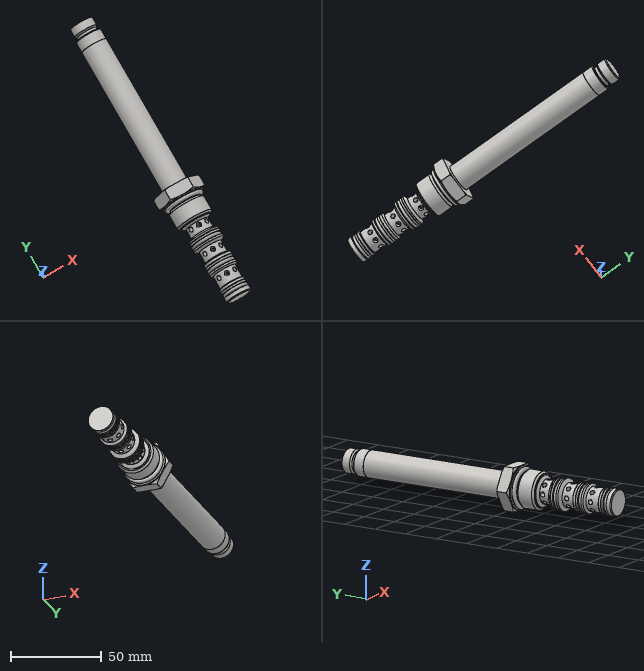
import cadquery as cq
import math


overall_length = 177.48
nose_y = -62.9
tip_y = nose_y + overall_length

hex_flats = 25.4
hex_corners = 2 * hex_flats / math.sqrt(3)
collar_height = 0.7
hex_bottom_y = collar_height
hex_top_y = 8.05
hex_top_bevel_dia = 27.4
bevel_angle = math.radians(22)

neck_dia = 19.62
static_bead_dia = 24.2
static_bead_width = 2.3
thread_dia = 22.22
thread_top_y = -4.0
thread_bottom_y = -12.85
thread_face_dia = 20.0
shoulder_dia = 18.4
shoulder_base_y = -15.6

cage_dia = 14.29
land_cone_angle = math.radians(30)
groove_width = 3.75
upper_land = (18.97, 16.23, -29.05, -27.8, -23.0)
middle_land = (17.37, 14.63, -45.1, -43.75, -38.4)
nose_land = (15.85, 13.16, nose_y, -59.8, -54.55)
lands = (upper_land, middle_land, nose_land)
nose_face_dia = 14.73

seal_recess = 0.065
seal_end_gap = 0.2
backup_width = 1.3
seal_bead_radius = (groove_width - 2 * seal_end_gap - backup_width) / 2

port_dia = 2.69
port_rows = 3
port_pitch = 15.65
first_port_y = -48.9
ports_per_row = 8

tube_dia = 15.88
tube_end_dia = 15.8
tube_end_face_dia = 14.73
tube_shoulder_y = 99.6
tube_end_y = 106.35
tip_neck_dia = 12.39
tip_head_dia = 14.28
tip_face_dia = 13.06
tip_head_bottom_y = 108.1


def revolve_about_y(profile):
    return profile.close().revolve(360, (0, 0, 0), (0, 1, 0))


def cone_height(large_dia, small_dia, angle):
    """Axial height of a cone whose side lies at the angle from a flat face."""
    return (large_dia - small_dia) / 2 * math.tan(angle)


def chamfer_height(large_dia, small_dia):
    return cone_height(large_dia, small_dia, math.radians(45))


def land_profile_up(profile, land):
    """Continue a profile from the bottom edge of a land up to the cage above it."""
    land_dia, floor_dia, bottom_y, groove_y, top_y = land
    return (
        profile.lineTo(land_dia / 2, groove_y)
        .lineTo(floor_dia / 2, groove_y)
        .lineTo(floor_dia / 2, groove_y + groove_width)
        .lineTo(land_dia / 2, groove_y + groove_width)
        .lineTo(land_dia / 2, top_y)
        .lineTo(cage_dia / 2, top_y + cone_height(land_dia, cage_dia, land_cone_angle))
    )


def make_cage():
    """Nose, lands, shoulder, threaded barrel, neck and collar as one turned shape."""
    nose_chamfer = chamfer_height(nose_land[0], nose_face_dia)
    profile = cq.Workplane("XY").moveTo(0, nose_y).lineTo(nose_face_dia / 2, nose_y)
    profile = profile.lineTo(nose_land[0] / 2, nose_y + nose_chamfer)
    profile = land_profile_up(profile, nose_land)
    for land in (middle_land, upper_land):
        land_dia, bottom_y = land[0], land[2]
        cone = cone_height(land_dia, cage_dia, land_cone_angle)
        profile = profile.lineTo(cage_dia / 2, bottom_y - cone).lineTo(land_dia / 2, bottom_y)
        profile = land_profile_up(profile, land)

    shoulder_edge_y = shoulder_base_y + cone_height(shoulder_dia, cage_dia, land_cone_angle)
    thread_face_y = thread_bottom_y - chamfer_height(thread_dia, thread_face_dia)
    profile = (
        profile.lineTo(cage_dia / 2, shoulder_base_y)
        .lineTo(shoulder_dia / 2, shoulder_edge_y)
        .lineTo(shoulder_dia / 2, thread_face_y)
        .lineTo(thread_face_dia / 2, thread_face_y)
        .lineTo(thread_dia / 2, thread_bottom_y)
        .lineTo(thread_dia / 2, thread_top_y)
        .lineTo(neck_dia / 2, thread_top_y + chamfer_height(thread_dia, neck_dia))
        .lineTo(neck_dia / 2, 0)
        .lineTo(hex_flats / 2, 0)
        .lineTo(hex_flats / 2, collar_height)
        .lineTo(0, collar_height)
    )
    return revolve_about_y(profile)


def round_ring(inner_radius, outer_radius, bottom_y, width):
    """Profile of a ring from its inner bottom corner, over its round rim, to its top side."""
    rim_center = outer_radius - width / 2
    return (
        cq.Workplane("XY")
        .moveTo(inner_radius, bottom_y)
        .lineTo(rim_center, bottom_y)
        .threePointArc((outer_radius, bottom_y + width / 2), (rim_center, bottom_y + width))
    )


def make_static_bead():
    """Round sealing bead on the neck, against the seat."""
    neck_radius = neck_dia / 2
    profile = round_ring(neck_radius, static_bead_dia / 2, -static_bead_width, static_bead_width)
    return revolve_about_y(profile.lineTo(neck_radius, 0))


def make_hexagon():
    """Hexagon with its corners beveled at both ends."""
    blank = (
        cq.Workplane("XZ", origin=(0, hex_bottom_y, 0))
        .polygon(6, hex_corners)
        .extrude(hex_bottom_y - hex_top_y)
    )
    bottom_bevel = cone_height(hex_corners, hex_flats, bevel_angle)
    top_bevel = cone_height(hex_corners, hex_top_bevel_dia, bevel_angle)
    envelope = revolve_about_y(
        cq.Workplane("XY")
        .moveTo(0, hex_bottom_y)
        .lineTo(hex_flats / 2, hex_bottom_y)
        .lineTo(hex_corners / 2, hex_bottom_y + bottom_bevel)
        .lineTo(hex_corners / 2, hex_top_y - top_bevel)
        .lineTo(hex_top_bevel_dia / 2, hex_top_y)
        .lineTo(0, hex_top_y)
    )
    return blank.intersect(envelope)


def make_tube():
    """Solenoid tube with its stepped end and grooved tip."""
    tip_head_chamfer = chamfer_height(tip_head_dia, tip_neck_dia)
    return revolve_about_y(
        cq.Workplane("XY")
        .moveTo(0, hex_bottom_y)
        .lineTo(tube_dia / 2, hex_bottom_y)
        .lineTo(tube_dia / 2, tube_shoulder_y)
        .lineTo(tube_end_dia / 2, tube_shoulder_y)
        .lineTo(tube_end_dia / 2, tube_end_y - chamfer_height(tube_end_dia, tube_end_face_dia))
        .lineTo(tube_end_face_dia / 2, tube_end_y)
        .lineTo(tip_neck_dia / 2, tube_end_y)
        .lineTo(tip_neck_dia / 2, tip_head_bottom_y)
        .lineTo(tip_head_dia / 2, tip_head_bottom_y + tip_head_chamfer)
        .lineTo(tip_head_dia / 2, tip_y - chamfer_height(tip_head_dia, tip_face_dia))
        .lineTo(tip_face_dia / 2, tip_y)
        .lineTo(0, tip_y)
    )


def make_port_drills():
    """Drills through the cage axis; each one opens two opposite ports."""
    drills = []
    for row in range(port_rows):
        row_y = first_port_y + row * port_pitch
        for index in range(ports_per_row // 2):
            drill = cq.Workplane("XY", origin=(0, row_y, 0)).circle(port_dia / 2)
            drill = drill.extrude(cage_dia, both=True)
            drills.append(drill.rotate((0, 0, 0), (0, 1, 0), index * 360 / ports_per_row))
    return drills


def make_valve_body():
    body = make_cage().union(make_static_bead()).union(make_hexagon()).union(make_tube())
    for drill in make_port_drills():
        body = body.cut(drill)
    return body


def make_seal(land):
    """Seal ring in a land groove: backup shoulder on top, round bead below."""
    land_dia, floor_dia, bottom_y, groove_y, top_y = land
    floor_radius = floor_dia / 2
    seal_radius = land_dia / 2 - seal_recess
    seal_bottom_y = groove_y + seal_end_gap
    backup_bottom_y = seal_bottom_y + 2 * seal_bead_radius
    backup_top_y = backup_bottom_y + backup_width
    return revolve_about_y(
        round_ring(floor_radius, seal_radius, seal_bottom_y, 2 * seal_bead_radius)
        .lineTo(seal_radius, backup_bottom_y)
        .lineTo(seal_radius, backup_top_y)
        .lineTo(floor_radius, backup_top_y)
    )


valve_body = make_valve_body()
seals = [make_seal(land) for land in lands]
result = cq.Compound.makeCompound([valve_body.val(), *[seal.val() for seal in seals]])